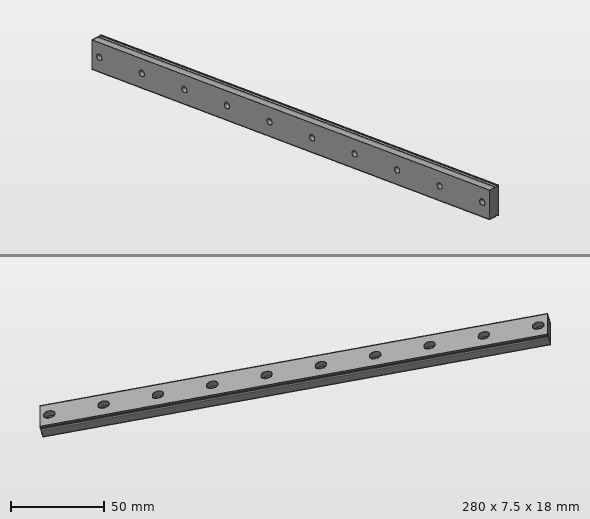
import cadquery as cq

length = 280.0
depth = 7.5
height = 18.0

front_strip_drop = 0.15

groove_center_y = 1.7
groove_width = 2.2
groove_depth = 0.42

hole_count = 10
hole_pitch = 30.0
hole_diameter = 3.5
counterbore_diameter = 6.2
counterbore_depth = 3.5


def grooved_bar():
    """Upper half of the section, extruded along X and mirrored downward."""
    top_z = height / 2
    front_z = top_z - front_strip_drop
    upper_half = (
        cq.Workplane("YZ")
        .moveTo(-depth / 2, 0)
        .lineTo(-depth / 2, front_z)
        .lineTo(groove_center_y - groove_width / 2, front_z)
        .lineTo(groove_center_y, top_z - groove_depth)
        .lineTo(groove_center_y + groove_width / 2, top_z)
        .lineTo(depth / 2, top_z)
        .lineTo(depth / 2, 0)
        .close()
        .extrude(length / 2, both=True)
    )
    return upper_half.mirror("XY", union=True).clean()


def mounting_holes():
    """Row of through holes along the bar, counterbored from the +Y face."""
    back_face = cq.Workplane("XZ", origin=(0, depth / 2, 0))
    hole_row = back_face.rarray(hole_pitch, 2.8, hole_count, 1)
    through_holes = hole_row.circle(hole_diameter / 2).extrude(depth)
    counterbores = hole_row.circle(counterbore_diameter / 2).extrude(counterbore_depth)
    return through_holes.union(counterbores)


result = grooved_bar().cut(mounting_holes())